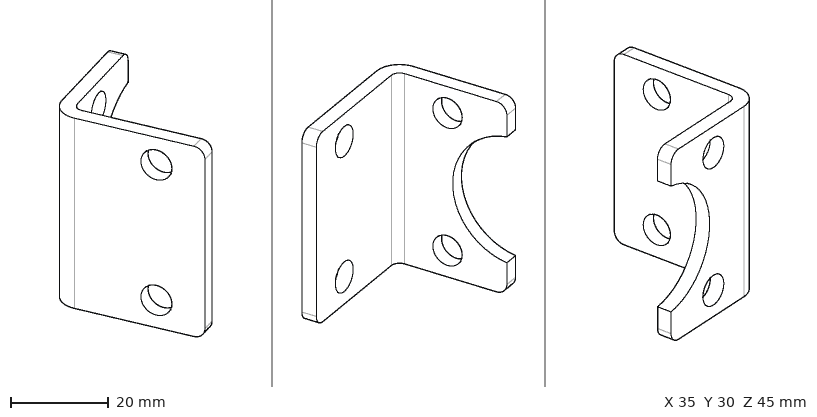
import cadquery as cq

length_x = 35.0
length_y = 30.0
height = 45.0
thickness = 3.5

bend_inner_radius = 2.0
bend_outer_radius = bend_inner_radius + thickness
corner_radius = 2.5

hole_diameter = 7.0
front_hole_x = 24.0
front_hole_spacing = 32.0
side_hole_y = 15.75
side_hole_spacing = 32.5

cutout_radius = 15.0
cutout_depth = 13.0
cutout_center_y = length_y - cutout_depth + cutout_radius

mid_height = height / 2


def bent_sheet():
    """L-shaped sheet with its outer bend corner at the origin, standing along Z."""
    sheet = (
        cq.Workplane("XY")
        .polyline(
            [
                (0, 0),
                (length_x, 0),
                (length_x, thickness),
                (thickness, thickness),
                (thickness, length_y),
                (0, length_y),
            ]
        )
        .close()
        .extrude(height)
    )
    outer_bend = cq.selectors.NearestToPointSelector((0, 0, mid_height))
    inner_bend = cq.selectors.NearestToPointSelector((thickness, thickness, mid_height))
    sheet = sheet.edges("|Z").edges(inner_bend).fillet(bend_inner_radius)
    return sheet.edges("|Z").edges(outer_bend).fillet(bend_outer_radius)


def round_free_corners(sheet):
    """Round the top and bottom corners at the free end of each flange."""
    sheet = sheet.faces(">X").edges("|Y").fillet(corner_radius)
    return sheet.faces(">Y").edges("|X").fillet(corner_radius)


def cylinder_along_y(x, z, radius):
    """Cutter through the front flange."""
    return cq.Workplane("XZ").center(x, z).circle(radius).extrude(-thickness)


def cylinder_along_x(y, z, radius):
    """Cutter through the side flange."""
    return cq.Workplane("YZ").center(y, z).circle(radius).extrude(thickness)


bracket = round_free_corners(bent_sheet())

for side in (-1, 1):
    front_hole_z = mid_height + side * front_hole_spacing / 2
    side_hole_z = mid_height + side * side_hole_spacing / 2
    bracket = bracket.cut(cylinder_along_y(front_hole_x, front_hole_z, hole_diameter / 2))
    bracket = bracket.cut(cylinder_along_x(side_hole_y, side_hole_z, hole_diameter / 2))

result = bracket.cut(cylinder_along_x(cutout_center_y, mid_height, cutout_radius))